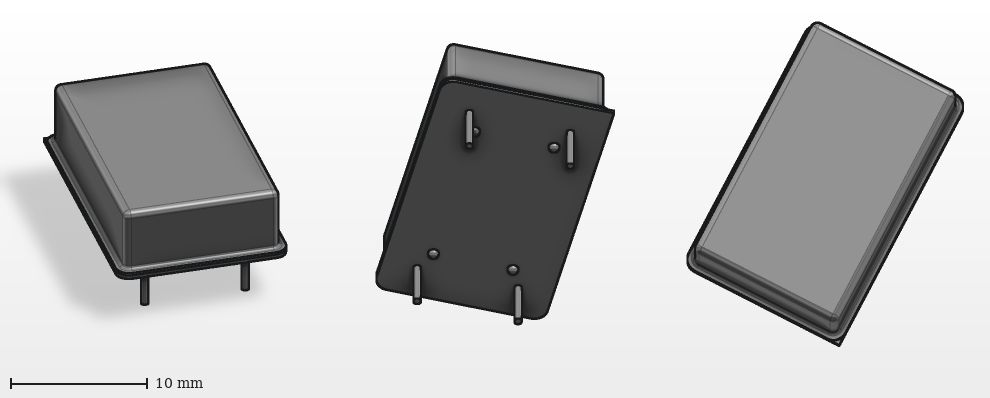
import cadquery as cq

plate_length = 20.4
plate_width = 12.9
plate_thickness = 0.3
plate_corner_radius = 1.0

rim_thickness = 0.2
can_inset = 0.55
can_edge_radius = 0.5
can_root_radius = 0.27
overall_height = 9.1

pin_diameter = 0.55
pin_length = 3.81
pin_spacing_x = 15.24
pin_spacing_y = 7.6

standoff_radius = 0.4
standoff_spacing_x = 12.0
standoff_spacing_y = 6.0

can_length = plate_length - 2 * can_inset
can_width = plate_width - 2 * can_inset
rim_top = plate_thickness + rim_thickness
can_top = overall_height - pin_length


def make_base():
    """Plate with three round corners and one square corner that marks pin 1."""
    plate = cq.Workplane("XY").box(plate_length, plate_width, plate_thickness, centered=(True, True, False))
    round_corners = plate.edges("|Z").edges(">X or >Y")
    return round_corners.fillet(plate_corner_radius)


def make_cover():
    """Solid can with rounded edges, blended into a thin rim."""
    rim = (
        cq.Workplane("XY", origin=(0, 0, plate_thickness))
        .box(plate_length, plate_width, rim_thickness, centered=(True, True, False))
        .edges("|Z")
        .fillet(plate_corner_radius)
    )
    can = (
        cq.Workplane("XY", origin=(0, 0, plate_thickness))
        .box(can_length, can_width, can_top - plate_thickness, centered=(True, True, False))
        .edges("|Z or >Z")
        .fillet(can_edge_radius)
    )
    cover = rim.union(can)
    rim_upper_face = cover.faces(cq.selectors.NearestToPointSelector((0, 0, rim_top)))
    root_edges = rim_upper_face.val().innerWires()[0].Edges()
    return cover.newObject(root_edges).fillet(can_root_radius)


def make_pin(x, y):
    """Round lead hanging from the underside of the base plate."""
    return cq.Workplane("XY", origin=(x, y, -pin_length)).circle(pin_diameter / 2).extrude(pin_length)


def make_standoff(x, y):
    """Hemisphere with its flat side against the underside of the base plate."""
    return (
        cq.Workplane("XZ", origin=(x, y, 0))
        .lineTo(standoff_radius, 0)
        .radiusArc((0, -standoff_radius), standoff_radius)
        .close()
        .revolve(360, (0, 0), (0, 1))
    )


def corner_positions(spacing_x, spacing_y):
    """Corners of a centered rectangle."""
    return [(sx * spacing_x / 2, sy * spacing_y / 2) for sx in (-1, 1) for sy in (-1, 1)]


base = make_base()
cover = make_cover()
pins = [make_pin(x, y) for x, y in corner_positions(pin_spacing_x, pin_spacing_y)]
standoffs = [make_standoff(x, y) for x, y in corner_positions(standoff_spacing_x, standoff_spacing_y)]

bodies = [base, cover, *pins, *standoffs]
result = cq.Compound.makeCompound([body.solids().val() for body in bodies])